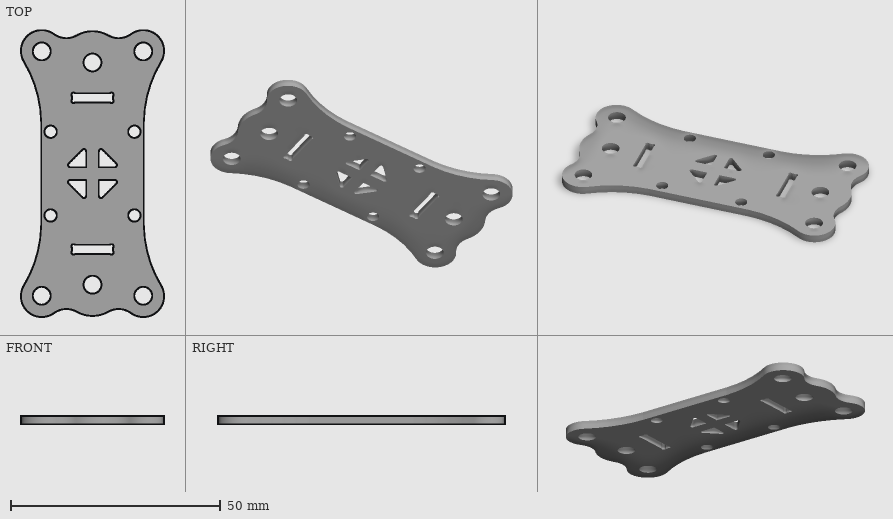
import cadquery as cq
import math

LENGTH = 68.59
WIDTH = 34.25
THICKNESS = 2.0

CORNER_RADIUS = 5.0
WAIST_HALF_WIDTH = 12.3
WAIST_HALF_LENGTH = 12.5
FLANK_RADIUS = 28.75
FLANK_END_ANGLE = math.radians(31)
END_BUMP_RADIUS = 7.5
VALLEY_RADIUS = 5.0
VALLEY_X = 6.23

LARGE_HOLE_DIAMETER = 4.22
CORNER_HOLE_Y = 29.18
SMALL_HOLE_DIAMETER = 2.9
SMALL_HOLE_OFFSET = 10.0

SLOT_LENGTH = 9.75
SLOT_WIDTH = 2.15
SLOT_Y = 18.1
RELIEF_RADIUS = 0.5

CROSS_HALF_WIDTH = 1.55
WINDOW_LEG = 4.98
WINDOW_TIP_RADIUS = 0.5

corner_x = WIDTH / 2 - CORNER_RADIUS
corner_y = LENGTH / 2 - CORNER_RADIUS
valley_y = corner_y + math.sqrt((CORNER_RADIUS + VALLEY_RADIUS) ** 2 - (corner_x - VALLEY_X) ** 2)
bump_y = valley_y - math.sqrt((END_BUMP_RADIUS + VALLEY_RADIUS) ** 2 - VALLEY_X**2)


def touch_point(center, radius, other_center):
    """Point of a circle that lies toward the centre of a circle touching it."""
    distance = math.dist(center, other_center)
    x = center[0] + radius * (other_center[0] - center[0]) / distance
    y = center[1] + radius * (other_center[1] - center[1]) / distance
    return (x, y)


def make_quarter():
    """The +X +Y quarter of the plate, bounded by the waist side and a chain of arcs."""
    corner = (corner_x, corner_y)
    valley = (VALLEY_X, valley_y)
    bump = (0, bump_y)

    flank_end = (
        corner_x + CORNER_RADIUS * math.cos(FLANK_END_ANGLE),
        corner_y - CORNER_RADIUS * math.sin(FLANK_END_ANGLE),
    )
    corner_end = touch_point(corner, CORNER_RADIUS, valley)
    bump_start = touch_point(bump, END_BUMP_RADIUS, valley)

    corner_middle = (corner_x + CORNER_RADIUS, corner_y)
    valley_middle = (VALLEY_X, valley_y - VALLEY_RADIUS)
    bump_top = (0, bump_y + END_BUMP_RADIUS)

    return (
        cq.Workplane("XY")
        .lineTo(WAIST_HALF_WIDTH, 0)
        .lineTo(WAIST_HALF_WIDTH, WAIST_HALF_LENGTH)
        .radiusArc(flank_end, FLANK_RADIUS)
        .threePointArc(corner_middle, corner_end)
        .threePointArc(valley_middle, bump_start)
        .radiusArc(bump_top, -END_BUMP_RADIUS)
        .close()
        .extrude(THICKNESS)
    )


def make_plate():
    quarter = make_quarter()
    half = quarter.union(quarter.mirror("YZ"))
    return half.union(half.mirror("XZ")).clean()


def make_round_holes():
    """Large holes in the corners and end bumps, small holes in a square."""
    large = (
        cq.Workplane("XY")
        .rect(2 * corner_x, 2 * CORNER_HOLE_Y, forConstruction=True)
        .vertices()
        .circle(LARGE_HOLE_DIAMETER / 2)
        .extrude(THICKNESS)
    )
    end = (
        cq.Workplane("XY")
        .pushPoints([(0, bump_y), (0, -bump_y)])
        .circle(LARGE_HOLE_DIAMETER / 2)
        .extrude(THICKNESS)
    )
    small = (
        cq.Workplane("XY")
        .rect(2 * SMALL_HOLE_OFFSET, 2 * SMALL_HOLE_OFFSET, forConstruction=True)
        .vertices()
        .circle(SMALL_HOLE_DIAMETER / 2)
        .extrude(THICKNESS)
    )
    return large.union(end).union(small)


def make_slot(y):
    """Slot whose corner reliefs are circles passing through the corners."""
    inset = RELIEF_RADIUS / math.sqrt(2)
    slot = cq.Workplane("XY").center(0, y).rect(SLOT_LENGTH, SLOT_WIDTH).extrude(THICKNESS)
    reliefs = (
        cq.Workplane("XY")
        .center(0, y)
        .rect(SLOT_LENGTH - 2 * inset, SLOT_WIDTH - 2 * inset, forConstruction=True)
        .vertices()
        .circle(RELIEF_RADIUS)
        .extrude(THICKNESS)
    )
    return slot.union(reliefs)


def make_window(x_side, y_side):
    """Right triangle with its square corner at the cross and rounded tips."""
    near = CROSS_HALF_WIDTH
    far = CROSS_HALF_WIDTH + WINDOW_LEG
    x_tip = (x_side * far, y_side * near)
    y_tip = (x_side * near, y_side * far)
    window = (
        cq.Workplane("XY")
        .polyline([(x_side * near, y_side * near), x_tip, y_tip])
        .close()
        .extrude(THICKNESS)
    )
    for tip in (x_tip, y_tip):
        tip_edge = cq.selectors.NearestToPointSelector((tip[0], tip[1], THICKNESS / 2))
        window = window.edges("|Z").edges(tip_edge).fillet(WINDOW_TIP_RADIUS)
    return window


result = make_plate().cut(make_round_holes())
for side in (1, -1):
    result = result.cut(make_slot(side * SLOT_Y))
    for other_side in (1, -1):
        result = result.cut(make_window(side, other_side))